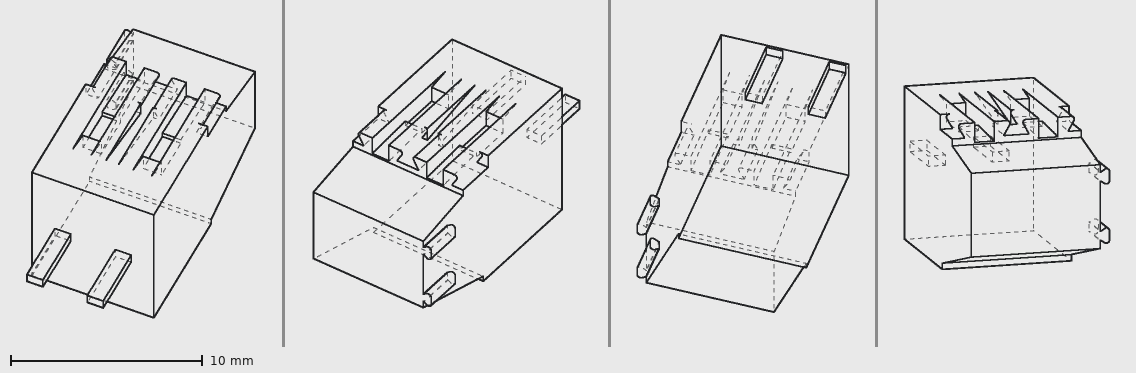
import cadquery as cq
import math

total_length = 16.1
pin_length = 3.5
body_length = total_length - pin_length
body_width = 7.0
body_height = 8.2
body_left = -body_width / 2
body_top = body_height / 2
body_bottom = -body_height / 2

top_step_length = 3.6
top_step_depth = 1.16
rear_top_depth = 1.8
bottom_step_length = 5.44
bottom_step_depth = 0.34
rear_bottom_depth = 1.9
step_y = body_length - top_step_length

pole_pitch = 3.46
pole_center_x = 0.02
pin_width = 0.92
pin_height = 0.55

rib_length = 2.19
rib_pitch = 3.17
rib_pair_center_z = 0.06
rib_projection = 0.5
rib_head_height = 0.82
rib_outer_height = 0.47
rib_neck_height = 0.5
rib_flank_angle = math.radians(33)

groove_pitch = 3.5
groove_length = 2.29
groove_depth = 0.79
groove_throat_width = 0.71
groove_lip_radius = 0.16
groove_foot_radius = 0.03
groove_flank_angle = math.radians(30)
groove_end_y = step_y - groove_length

channel_end_y = 2.4
channel_width = 1.05
channel_rear_depth = 1.05
channel_crest_depth = 0.89
channel_crest_y = 6.0
pit_front_y = 3.6
pit_depth = top_step_depth
ramp_slope = groove_depth / (groove_end_y - channel_end_y)
pole_xs = [pole_center_x - pole_pitch / 2, pole_center_x + pole_pitch / 2]


def extrude_along_x(points, width, center_x):
    """Prism of a (Y, Z) outline, centred on center_x."""
    start = center_x - width / 2
    return cq.Workplane("YZ", origin=(start, 0, 0)).polyline(points).close().extrude(width)


def make_housing():
    outline = [
        (0, body_bottom),
        (body_length - bottom_step_length, body_bottom),
        (body_length - bottom_step_length, body_bottom + bottom_step_depth),
        (body_length, body_bottom + rear_bottom_depth),
        (body_length, body_top - rear_top_depth),
        (step_y, body_top - top_step_depth),
        (step_y, body_top),
        (0, body_top),
    ]
    return extrude_along_x(outline, body_width, 0)


def make_pin(center_x):
    pin = cq.Workplane("XY").box(pin_width, pin_length, pin_height)
    return pin.translate((center_x, -pin_length / 2, 0))


def make_rib(center_z):
    """Rail with a rounded head on a narrower neck, flush with the rear face."""
    radius = (rib_head_height - rib_outer_height) / 2
    outer_x = body_left - rib_projection
    arc_center_x = outer_x + radius
    flat_half = rib_outer_height / 2
    neck_half = rib_neck_height / 2

    def on_arc(angle, side):
        x = arc_center_x - radius * math.cos(angle)
        return (x, center_z + side * (flat_half + radius * math.sin(angle)))

    arc_sweep = math.pi / 2 + rib_flank_angle
    flank_drop = flat_half + radius * math.sin(arc_sweep) - neck_half
    neck_x = on_arc(arc_sweep, 1)[0] + flank_drop / math.tan(rib_flank_angle)
    profile = (
        cq.Workplane("XZ", origin=(0, body_length, 0))
        .moveTo(body_left, center_z - neck_half)
        .lineTo(neck_x, center_z - neck_half)
        .lineTo(*on_arc(arc_sweep, -1))
        .threePointArc(on_arc(arc_sweep / 2, -1), on_arc(0, -1))
        .lineTo(*on_arc(0, 1))
        .threePointArc(on_arc(arc_sweep / 2, 1), on_arc(arc_sweep, 1))
        .lineTo(neck_x, center_z + neck_half)
        .lineTo(body_left, center_z + neck_half)
        .close()
    )
    return profile.extrude(rib_length)


def make_groove(center_x):
    """Undercut groove with rounded lips and floor corners, open at the top and at the step."""
    radius = groove_lip_radius
    arc_center_half = groove_throat_width / 2 + radius
    arc_center_z = body_top - radius
    floor_z = body_top - groove_depth

    def on_arc(angle, side):
        x = center_x + side * (arc_center_half - radius * math.sin(angle))
        return (x, arc_center_z + radius * math.cos(angle))

    arc_sweep = math.pi / 2 + groove_flank_angle
    flank_height = on_arc(arc_sweep, 1)[1] - floor_z
    floor_half = on_arc(arc_sweep, 1)[0] - center_x + flank_height * math.tan(groove_flank_angle)
    profile = (
        cq.Workplane("XZ", origin=(0, step_y, 0))
        .moveTo(*on_arc(0, -1))
        .threePointArc(on_arc(arc_sweep / 2, -1), on_arc(arc_sweep, -1))
        .lineTo(center_x - floor_half, floor_z)
        .lineTo(center_x + floor_half, floor_z)
        .lineTo(*on_arc(arc_sweep, 1))
        .threePointArc(on_arc(arc_sweep / 2, 1), on_arc(0, 1))
        .close()
    )
    groove = profile.extrude(groove_length)
    return groove.faces("<Z").edges("|Y").fillet(groove_foot_radius)


def make_middle_ramp():
    """Wedge running out from the middle groove floor up to the top face."""
    outline = [
        (channel_end_y, body_top),
        (groove_end_y, body_top - groove_depth),
        (groove_end_y, body_top),
    ]
    return extrude_along_x(outline, groove_throat_width, pole_center_x)


def make_channel(center_x):
    """Channel from the step: gently rising floor, flat pit, then a ramp out to the top face."""
    outline = [
        (step_y, body_top),
        (step_y, body_top - channel_rear_depth),
        (channel_crest_y, body_top - channel_crest_depth),
        (channel_crest_y, body_top - pit_depth),
        (pit_front_y, body_top - pit_depth),
        (pit_front_y, body_top - ramp_slope * (pit_front_y - channel_end_y)),
        (channel_end_y, body_top),
    ]
    return extrude_along_x(outline, channel_width, center_x)


result = make_housing()
for groove_index in (-1, 0, 1):
    result = result.cut(make_groove(pole_center_x + groove_index * groove_pitch))
result = result.cut(make_middle_ramp())
for pole_x in pole_xs:
    result = result.cut(make_channel(pole_x)).union(make_pin(pole_x))
for side in (-1, 1):
    result = result.union(make_rib(rib_pair_center_z + side * rib_pitch / 2))